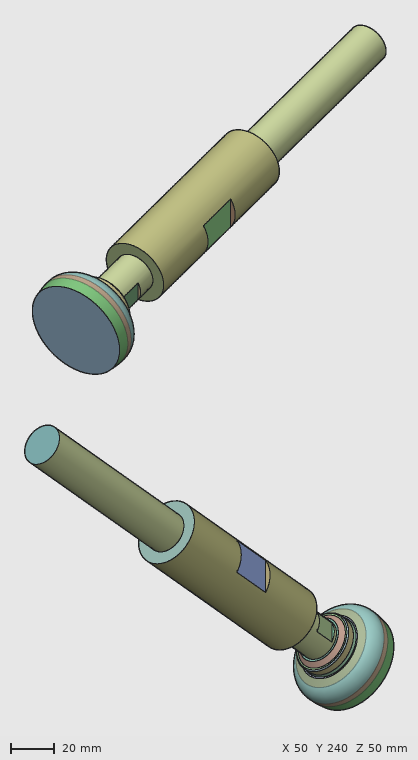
import cadquery as cq
import math

LENGTH = 240.0
FOOT_FACE_Y = -LENGTH / 2

ROD_DIAMETER = 20.0
ROD_FLAT_WIDTH = 17.0
ROD_FLAT_LENGTH = 11.5
ROD_FLAT_OFFSET = 32.6

FOOT_DIAMETER = 50.0
FOOT_FACE_DIAMETER = 48.5
TAPER_HEIGHT = 5.8
RIM_HEIGHT = 8.6
SHOULDER_RADIUS = 7.7
SHOULDER_HEIGHT = 15.8
CONE_TOP_HEIGHT = 17.3
COLLAR_BASE_DIAMETER = 30.7
COLLAR_DIAMETER = 29.8
COLLAR_BASE_HEIGHT = 18.7
COLLAR_TOP_HEIGHT = 23.0
COLLAR_CHAMFER = 0.6
CAP_BASE_DIAMETER = 27.0
CAP_TOP_DIAMETER = 22.0
FOOT_HEIGHT = 25.2

SLEEVE_DIAMETER = 32.0
SLEEVE_LENGTH = 95.0
SLEEVE_OFFSET = 48.5
SLEEVE_FLAT_WIDTH = 27.0
SLEEVE_FLAT_LENGTH = 22.3


def cylinder_along_y(diameter, start_y, length):
    return cq.Workplane("XZ", origin=(0, start_y, 0)).circle(diameter / 2).extrude(-length)


def cut_flats(body, diameter, across_flats, length, middle_y):
    """Cut a pair of flats facing -X and +X into a round body."""
    depth = (diameter - across_flats) / 2
    for side in (-1, 1):
        cutter = cq.Workplane("XY").box(2 * depth, length, diameter)
        body = body.cut(cutter.translate((side * diameter / 2, middle_y, 0)))
    return body


def make_foot():
    """Revolve the half profile: tapered rim, rounded shoulder, cone, collar and conical cap."""
    rim_radius = FOOT_DIAMETER / 2
    collar_radius = COLLAR_DIAMETER / 2
    center_x = rim_radius - SHOULDER_RADIUS
    arc_angle = math.asin((SHOULDER_HEIGHT - RIM_HEIGHT) / SHOULDER_RADIUS)

    def shoulder_point(angle):
        return (
            center_x + SHOULDER_RADIUS * math.cos(angle),
            RIM_HEIGHT + SHOULDER_RADIUS * math.sin(angle),
        )

    shoulder_end = shoulder_point(arc_angle)
    cone_top_x = shoulder_end[0] - (CONE_TOP_HEIGHT - SHOULDER_HEIGHT) * math.tan(arc_angle)
    profile = (
        cq.Workplane("XY", origin=(0, FOOT_FACE_Y, 0))
        .lineTo(FOOT_FACE_DIAMETER / 2, 0)
        .lineTo(rim_radius, TAPER_HEIGHT)
        .lineTo(rim_radius, RIM_HEIGHT)
        .threePointArc(shoulder_point(arc_angle / 2), shoulder_end)
        .lineTo(cone_top_x, CONE_TOP_HEIGHT)
        .lineTo(COLLAR_BASE_DIAMETER / 2, CONE_TOP_HEIGHT)
        .lineTo(collar_radius, COLLAR_BASE_HEIGHT)
        .lineTo(collar_radius, COLLAR_TOP_HEIGHT - COLLAR_CHAMFER)
        .lineTo(collar_radius - COLLAR_CHAMFER, COLLAR_TOP_HEIGHT)
        .lineTo(CAP_BASE_DIAMETER / 2, COLLAR_TOP_HEIGHT)
        .lineTo(CAP_TOP_DIAMETER / 2, FOOT_HEIGHT)
        .lineTo(0, FOOT_HEIGHT)
        .close()
    )
    return profile.revolve(360, (0, 0, 0), (0, 1, 0))


def make_spindle():
    rod = cylinder_along_y(ROD_DIAMETER, FOOT_FACE_Y, LENGTH)
    rod = cut_flats(rod, ROD_DIAMETER, ROD_FLAT_WIDTH, ROD_FLAT_LENGTH, FOOT_FACE_Y + ROD_FLAT_OFFSET)
    return rod.union(make_foot())


def make_sleeve():
    start_y = FOOT_FACE_Y + SLEEVE_OFFSET
    sleeve = cylinder_along_y(SLEEVE_DIAMETER, start_y, SLEEVE_LENGTH)
    middle_y = start_y + SLEEVE_LENGTH / 2
    sleeve = cut_flats(sleeve, SLEEVE_DIAMETER, SLEEVE_FLAT_WIDTH, SLEEVE_FLAT_LENGTH, middle_y)
    return sleeve.cut(cylinder_along_y(ROD_DIAMETER, start_y, SLEEVE_LENGTH))


spindle = make_spindle()
sleeve = make_sleeve()
result = cq.Compound.makeCompound([spindle.val(), sleeve.val()])